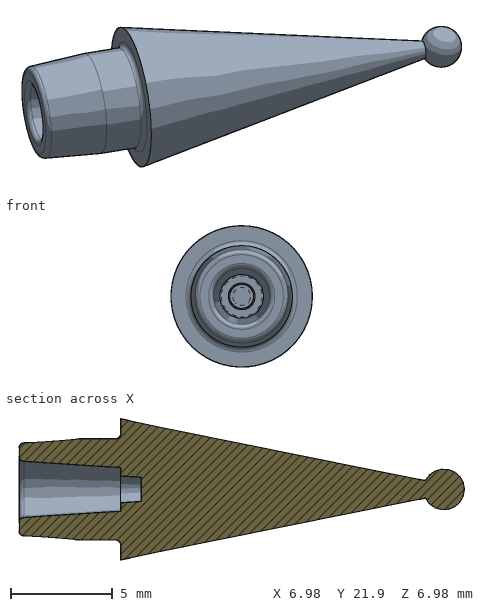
import cadquery as cq

total_length = 21.92
ball_radius = 1.0
neck_radius = 0.44
cone_radius = 3.49
shank_radius = 2.5
shank_length = 5.0
straight_length = 2.0
tip_radius = 2.28
root_fillet = 0.25
tip_fillet = 0.25

bore_mouth_radius = 1.38
bore_floor_radius = 1.07
bore_depth = 5.0
mouth_fillet = 0.25
pilot_mouth_radius = 0.65
pilot_floor_radius = 0.6
pilot_depth = 1.0

end_y = -total_length / 2
shoulder_y = end_y + shank_length
taper_y = shoulder_y - straight_length
bore_floor_y = end_y + bore_depth
pilot_floor_y = bore_floor_y + pilot_depth
ball_y = total_length / 2 - ball_radius
neck_y = ball_y - (ball_radius**2 - neck_radius**2) ** 0.5


def revolve_about_y(outline):
    return outline.close().revolve(360, (0, 0, 0), (0, 1, 0))


def outer_body():
    """Ball, long cone and tapered shank with rounded root and tip."""
    outline = (
        cq.Workplane("XY")
        .moveTo(0, end_y)
        .lineTo(tip_radius, end_y)
        .lineTo(shank_radius, taper_y)
        .lineTo(shank_radius, shoulder_y - root_fillet)
        .radiusArc((shank_radius + root_fillet, shoulder_y), root_fillet)
        .lineTo(cone_radius, shoulder_y)
        .lineTo(neck_radius, neck_y)
        .threePointArc((ball_radius, ball_y), (0, ball_y + ball_radius))
    )
    body = revolve_about_y(outline)
    return body.faces("<Y").edges().fillet(tip_fillet)


def bore():
    """Tapered bore with a smaller tapered recess in its floor and a rounded mouth."""
    outline = (
        cq.Workplane("XY")
        .moveTo(0, end_y)
        .lineTo(bore_mouth_radius + mouth_fillet, end_y)
        .radiusArc((bore_mouth_radius, end_y + mouth_fillet), mouth_fillet)
        .lineTo(bore_floor_radius, bore_floor_y)
        .lineTo(pilot_mouth_radius, bore_floor_y)
        .lineTo(pilot_floor_radius, pilot_floor_y)
        .lineTo(0, pilot_floor_y)
    )
    return revolve_about_y(outline)


result = outer_body().cut(bore())